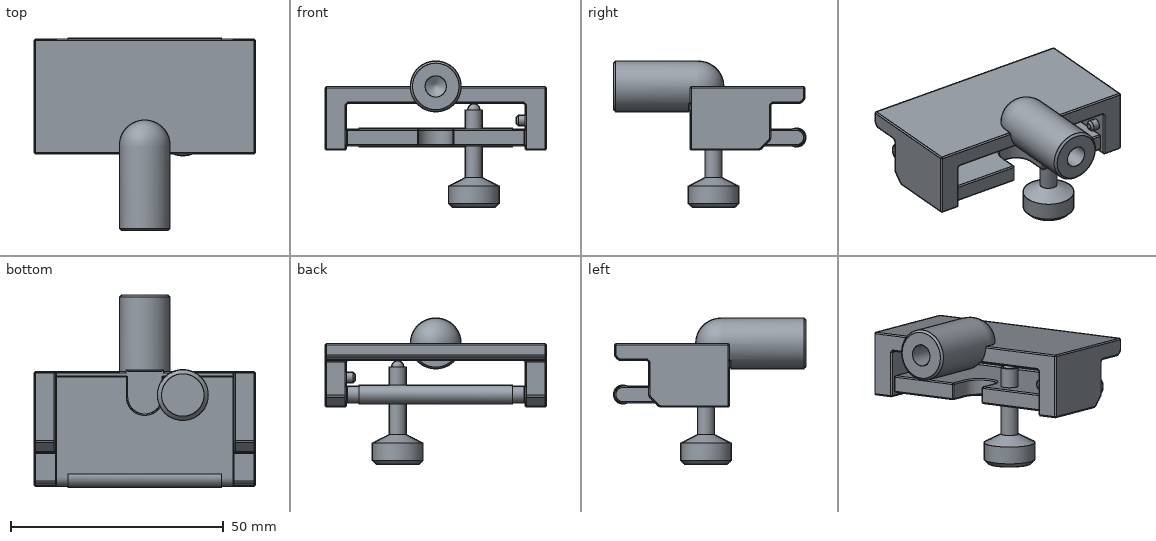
import cadquery as cq
import math

body_width = 52.0
body_depth = 27.0
body_height = 15.0
plate_thickness = 4.0
leg_thickness = 5.0
leg_depth = 19.0
leg_corner_chamfer = 2.5
lip_chamfer = 1.0
edge_chamfer = 0.3

post_radius = 6.0
post_overhang = 18.0
dome_center_y = 2.0
post_chamfer = 0.5
post_base_chamfer = 0.4
bore_radius = 2.5
bore_depth = 10.0
bore_cone_depth = 1.45

bar_thickness = 4.0
bar_center_z = -12.0
bar_front_y = 1.0
jaw_center_y = 25.0
jaw_radius = 2.25
jaw_length = 36.0
slot_radius = 4.0
slot_center_y = 6.0

screw_x = 8.95
screw_y = 5.5
screw_radius = 2.05
screw_tip_radius = 1.45
tip_clearance = 0.05
knob_radius = 6.0
knob_bottom_z = -28.45
knob_bevel = 1.0
knob_rim_height = 4.0
knob_cone_height = 2.05

pin_radius = 1.25
pin_length = 2.15
pin_chamfer = 0.5
pin_y = 3.0
pin_z = -8.0

inner_half_width = body_width / 2 - leg_thickness


def make_body():
    """Plate with two legs, every outer edge bevelled."""
    side_outline = [
        (0, 0),
        (body_depth, 0),
        (body_depth, -plate_thickness + lip_chamfer),
        (body_depth - lip_chamfer, -plate_thickness),
        (leg_depth, -plate_thickness),
        (leg_depth, -body_height + leg_corner_chamfer),
        (leg_depth - leg_corner_chamfer, -body_height),
        (0, -body_height),
    ]
    blank = cq.Workplane("YZ").polyline(side_outline).close().extrude(body_width / 2, both=True)
    cavity = cq.Workplane("XY").box(
        2 * inner_half_width, body_depth, body_height, centered=(True, False, False)
    ).translate((0, 0, -plate_thickness - body_height))
    return blank.cut(cavity).edges().chamfer(edge_chamfer)


def make_post():
    """Domed post with a blind bore; behind the front face only the part above the cavity remains."""
    front_y = -post_overhang
    bore_end_y = front_y + bore_depth
    dome_diagonal = post_radius * math.sqrt(0.5)
    post = (
        cq.Workplane("YZ")
        .moveTo(front_y, bore_radius)
        .lineTo(front_y, post_radius - post_chamfer)
        .lineTo(front_y + post_chamfer, post_radius)
        .lineTo(dome_center_y, post_radius)
        .threePointArc(
            (dome_center_y + dome_diagonal, dome_diagonal),
            (dome_center_y + post_radius, 0),
        )
        .lineTo(bore_end_y + bore_cone_depth, 0)
        .lineTo(bore_end_y, bore_radius)
        .close()
        .revolve(360, (0, 0, 0), (1, 0, 0))
    )
    cavity_part = cq.Workplane("XY").box(
        2 * post_radius, 2 * post_radius, post_radius, centered=(True, False, False)
    ).translate((0, 0, -plate_thickness - post_radius))
    base_edge = cq.NearestToPointSelector((0, 0, -post_radius))
    return post.cut(cavity_part).edges("%CIRCLE").edges(base_edge).chamfer(post_base_chamfer)


def make_bar():
    """Slotted, bevelled bar with a round rear edge and a thicker jaw along it."""
    half_thickness = bar_thickness / 2
    bar = (
        cq.Workplane("YZ")
        .moveTo(bar_front_y, bar_center_z - half_thickness)
        .lineTo(jaw_center_y, bar_center_z - half_thickness)
        .threePointArc(
            (jaw_center_y + half_thickness, bar_center_z),
            (jaw_center_y, bar_center_z + half_thickness),
        )
        .lineTo(bar_front_y, bar_center_z + half_thickness)
        .close()
        .extrude(inner_half_width, both=True)
    )
    slot = (
        cq.Workplane("XY", origin=(0, 0, bar_center_z))
        .moveTo(-slot_radius, 0)
        .lineTo(-slot_radius, slot_center_y)
        .threePointArc((0, slot_center_y + slot_radius), (slot_radius, slot_center_y))
        .lineTo(slot_radius, 0)
        .close()
        .extrude(bar_thickness, both=True)
    )
    jaw = (
        cq.Workplane("YZ").center(jaw_center_y, bar_center_z)
        .circle(jaw_radius).extrude(jaw_length / 2, both=True)
    )
    return bar.cut(slot).edges("(not |X) or <Y").chamfer(edge_chamfer).union(jaw)


def make_screw():
    """Thumb screw with a spherical tip, revolved about its vertical axis."""
    rim_bottom_z = knob_bottom_z + knob_bevel
    rim_top_z = rim_bottom_z + knob_rim_height
    shank_bottom_z = rim_top_z + knob_cone_height
    tip_z = -plate_thickness - tip_clearance
    shank_top_z = tip_z - screw_tip_radius
    profile = [
        (0, knob_bottom_z),
        (knob_radius - knob_bevel, knob_bottom_z),
        (knob_radius, rim_bottom_z),
        (knob_radius, rim_top_z),
        (screw_radius, shank_bottom_z),
        (screw_radius, shank_top_z),
        (0, shank_top_z),
    ]
    shank = cq.Workplane("XZ").polyline(profile).close().revolve(360, (0, 0, 0), (0, 1, 0))
    tip = cq.Workplane("XY").sphere(screw_tip_radius).translate((0, 0, shank_top_z))
    return shank.union(tip).translate((screw_x, screw_y, 0))


def make_pin():
    """Stop pin pointing inward from the right leg."""
    return (
        cq.Workplane("YZ", origin=(inner_half_width, pin_y, pin_z))
        .circle(pin_radius).extrude(-pin_length)
        .faces("<X").chamfer(pin_chamfer)
    )


result = (
    make_body()
    .union(make_post())
    .union(make_bar())
    .union(make_screw())
    .union(make_pin())
)